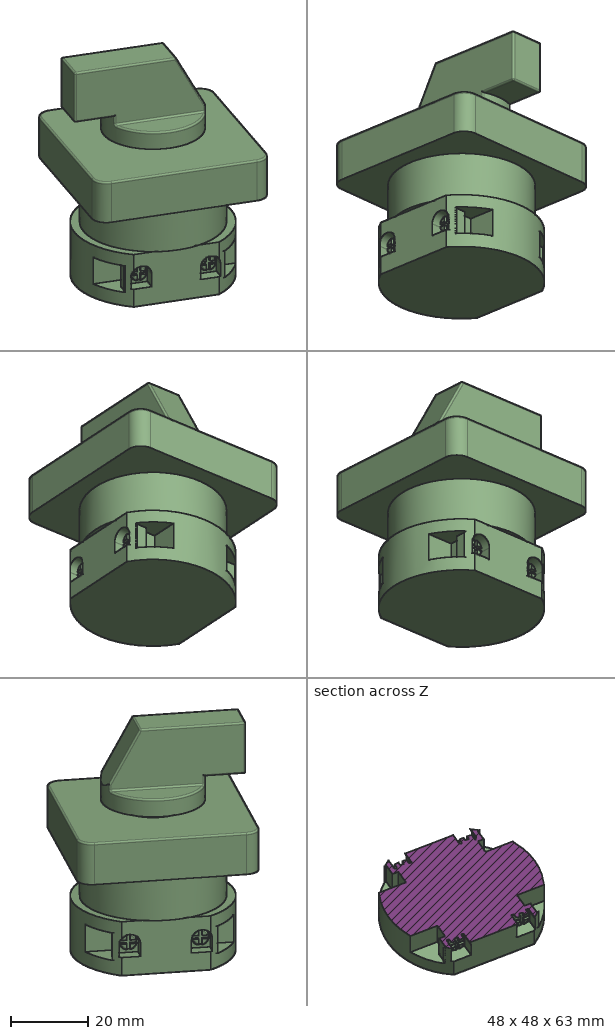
import cadquery as cq

body_top = 14.9
drum_top = 28.0
plate_top = 39.5
disc_bottom = 41.6
disc_top = 46.5
arm_bottom = 48.8
knob_top = 63.0

body_diameter = 43.0
body_flat_width = 36.05
drum_diameter = 38.2

plate_side = 48.0
plate_corner_radius = 4.0
plate_edge_radius = 0.5

neck_diameter = 17.0
disc_diameter = 27.1
grip_width = 10.45
grip_front = -23.5
grip_slope_start = 4.5
grip_slope_foot = 46.7
knob_edge_radius = 0.5

entry_inner_x = 8.8
entry_outer_x = 16.4
entry_step_x = 12.9
entry_bottom = 3.85
entry_height = 7.55
entry_shallow_y = 13.4
entry_deep_y = 11.7

screw_y = 9.5
screw_z = 8.45
screw_head_radius = 2.3
screw_head_height = 1.5
screw_edge_radius = 0.5
slot_width = 1.0
slot_depth = 1.0
screw_pocket_width = 5.6
screw_pocket_bottom = 5.05
screw_pocket_depth = 3.6

disc_radius = disc_diameter / 2
flat_x = body_flat_width / 2


def cylinder(diameter, bottom, top):
    return cq.Workplane("XY").workplane(offset=bottom).circle(diameter / 2).extrude(top - bottom)


def block(x_range, y_range, z_range):
    size = [end - start for start, end in (x_range, y_range, z_range)]
    corner = (x_range[0], y_range[0], z_range[0])
    return cq.Workplane("XY").box(*size, centered=False).translate(corner)


def in_four_quadrants(feature):
    """Repeat a +X +Y feature by mirroring it across both vertical planes."""
    pair = feature.union(feature.mirror("YZ"))
    return pair.union(pair.mirror("XZ"))


def make_wire_entry():
    """Pocket open to the curved side, deeper next to the middle of the block."""
    outside = body_diameter / 2
    z_range = (entry_bottom, entry_bottom + entry_height)
    shallow = block((entry_inner_x, entry_outer_x), (entry_shallow_y, outside), z_range)
    deep = block((entry_inner_x, entry_step_x), (entry_deep_y, outside), z_range)
    return shallow.union(deep)


def make_screw_pocket():
    """Round-topped recess cut straight into a flat."""
    back_x = flat_x - screw_pocket_depth
    arch = (
        cq.Workplane("YZ", origin=(back_x, screw_y, screw_z))
        .circle(screw_pocket_width / 2)
        .extrude(screw_pocket_depth)
    )
    sides = (screw_y - screw_pocket_width / 2, screw_y + screw_pocket_width / 2)
    lower = block((back_x, flat_x), sides, (screw_pocket_bottom, screw_z))
    return arch.union(lower)


def make_screw_head():
    """Rounded screw head with a cross slot, standing on the back of its pocket."""
    back_x = flat_x - screw_pocket_depth
    head = (
        cq.Workplane("YZ", origin=(back_x, screw_y, screw_z))
        .circle(screw_head_radius)
        .extrude(screw_head_height)
        .faces(">X").edges().fillet(screw_edge_radius)
    )
    front_plane = cq.Workplane("YZ", origin=(back_x + screw_head_height, screw_y, screw_z))
    slot_length = 2 * screw_head_radius
    slots = front_plane.rect(slot_length, slot_width).extrude(-slot_depth)
    slots = slots.union(front_plane.rect(slot_width, slot_length).extrude(-slot_depth))
    return head.cut(slots)


def make_contact_block():
    flats = block((-flat_x, flat_x), (-body_diameter, body_diameter), (0, body_top))
    body = cylinder(body_diameter, 0, body_top).intersect(flats)
    body = body.cut(in_four_quadrants(make_wire_entry()))
    body = body.cut(in_four_quadrants(make_screw_pocket()))
    return body.union(in_four_quadrants(make_screw_head()))


def make_plate():
    return (
        cq.Workplane("XY")
        .workplane(offset=drum_top)
        .rect(plate_side, plate_side)
        .extrude(plate_top - drum_top)
        .edges("|Z").fillet(plate_corner_radius)
        .faces(">Z").edges().fillet(plate_edge_radius)
    )


def make_knob():
    """Disc with a raised grip that slopes down at the back and overhangs at the front."""
    profile = (
        cq.Workplane("YZ", origin=(-grip_width / 2, 0, 0))
        .polyline([
            (grip_front, arm_bottom),
            (grip_front, knob_top),
            (grip_slope_start, knob_top),
            (disc_radius, grip_slope_foot),
            (disc_radius, disc_bottom),
            (-disc_radius, disc_bottom),
            (-disc_radius, arm_bottom),
        ])
        .close()
        .extrude(grip_width)
    )
    stem = profile.intersect(cylinder(disc_diameter, disc_bottom, knob_top))
    arm_zone = block((-grip_width, grip_width), (grip_front, 0), (arm_bottom, knob_top))
    grip = stem.union(profile.intersect(arm_zone))
    knob = grip.union(cylinder(disc_diameter, disc_bottom, disc_top))
    straight_edges = knob.edges("%LINE and (not >X)")
    rim_slab = cq.selectors.BoxSelector(
        (-disc_radius, -disc_radius, disc_top - knob_edge_radius),
        (disc_radius, disc_radius, disc_top + knob_edge_radius),
    )
    return straight_edges.add(knob.edges(rim_slab)).fillet(knob_edge_radius)


result = (
    make_contact_block()
    .union(cylinder(drum_diameter, body_top, drum_top))
    .union(make_plate())
    .union(cylinder(neck_diameter, plate_top, disc_bottom))
    .union(make_knob())
)